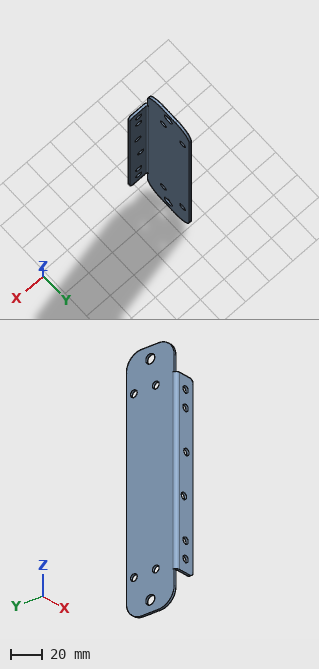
import cadquery as cq

length = 188.7
depth = 41.0
flange_width = 16.5
flange_length = 139.6
thickness = 1.9
inner_bend_radius = 1.1
outer_bend_radius = inner_bend_radius + thickness
plate_corner_radius = 12.6
flange_corner_radius = 3.2

plate_edge_y = thickness
plate_width = depth - plate_edge_y
plate_center_y = plate_edge_y + plate_width / 2

mounting_hole_diameter = 7.2
mounting_hole_z = 85.3
plate_hole_diameter = 5.3
plate_hole_z = 65.1
plate_hole_ys = (plate_center_y - 4.5, plate_center_y + 13.4)

flange_hole_diameter = 5.0
end_hole_x = 9.0
end_hole_zs = (47.0, 60.0)
upper_middle_hole = (9.8, 16.0)
lower_middle_hole = (7.4, -16.0)


def make_plate():
    return (
        cq.Workplane("XY")
        .box(thickness, plate_width, length, centered=(False, False, True))
        .translate((0, plate_edge_y, 0))
        .edges("|X")
        .fillet(plate_corner_radius)
    )


def make_bent_flange():
    """Flange with its bend, running a little way up the plate."""
    angle = (
        cq.Workplane("XY")
        .workplane(offset=-flange_length / 2)
        .moveTo(outer_bend_radius, 0)
        .lineTo(flange_width, 0)
        .lineTo(flange_width, thickness)
        .lineTo(outer_bend_radius, thickness)
        .radiusArc((thickness, outer_bend_radius), inner_bend_radius)
        .lineTo(thickness, plate_center_y)
        .lineTo(0, plate_center_y)
        .lineTo(0, outer_bend_radius)
        .radiusArc((outer_bend_radius, 0), -outer_bend_radius)
        .close()
        .extrude(flange_length)
    )
    return angle.edges("|Y and >X").fillet(flange_corner_radius)


def make_bracket():
    bend_clearance = cq.Workplane("XY").box(
        thickness, plate_center_y, flange_length, centered=(False, False, True)
    )
    return make_plate().cut(bend_clearance).union(make_bent_flange())


def plate_drills(points, diameter):
    """Cylinders along X through the plate at (Y, Z) points."""
    return cq.Workplane("YZ").pushPoints(points).circle(diameter / 2).extrude(thickness)


def flange_drills(points, diameter):
    """Cylinders along Y through the flange at (X, Z) points."""
    return cq.Workplane("XZ").pushPoints(points).circle(diameter / 2).extrude(-thickness)


mounting_holes = [(plate_center_y, side * mounting_hole_z) for side in (-1, 1)]
plate_holes = [(y, side * plate_hole_z) for y in plate_hole_ys for side in (-1, 1)]
flange_holes = [(end_hole_x, side * z) for z in end_hole_zs for side in (-1, 1)]
flange_holes += [upper_middle_hole, lower_middle_hole]

result = (
    make_bracket()
    .cut(plate_drills(mounting_holes, mounting_hole_diameter))
    .cut(plate_drills(plate_holes, plate_hole_diameter))
    .cut(flange_drills(flange_holes, flange_hole_diameter))
)